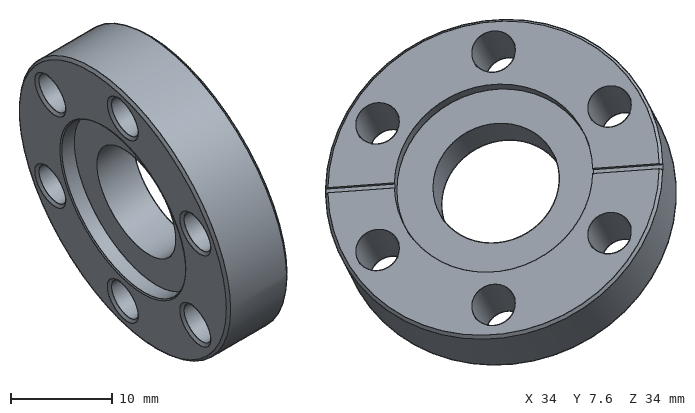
import cadquery as cq

outer_diameter = 34.0
thickness = 7.6
rim_chamfer = 0.3
bore_diameter = 20.0
bore_chamfer = 0.15

bolt_count = 6
bolt_circle_diameter = 27.0
bolt_hole_diameter = 4.4
bolt_hole_chamfer = 0.3

groove_width = 0.55
groove_depth = 0.35

insert_hole_diameter = 12.7
insert_thickness = 4.6
insert_recess = 1.7

front_y = -thickness / 2
rear_y = thickness / 2


def cylinder_along_y(diameter, length, start_y):
    """Solid cylinder on the Y axis, running from start_y toward +Y."""
    return cq.Workplane("XZ", origin=(0, start_y, 0)).circle(diameter / 2).extrude(-length)


def chamfered_hole_cutter(diameter, chamfer):
    """Through-hole cutter on the Y axis that flares out at the front face."""
    radius = diameter / 2
    half_profile = (
        cq.Workplane("XY")
        .moveTo(0, front_y)
        .lineTo(radius + chamfer, front_y)
        .lineTo(radius, front_y + chamfer)
        .lineTo(radius, rear_y)
        .lineTo(0, rear_y)
        .close()
    )
    return half_profile.revolve(360, (0, 0, 0), (0, 1, 0))


def make_flange():
    """Ring with chamfered rims, central bore, bolt holes and rear groove."""
    flange = cylinder_along_y(outer_diameter, thickness, front_y).edges().chamfer(rim_chamfer)
    flange = flange.cut(chamfered_hole_cutter(bore_diameter, bore_chamfer))

    bolt_cutter = chamfered_hole_cutter(bolt_hole_diameter, bolt_hole_chamfer)
    bolt_cutter = bolt_cutter.translate((0, 0, bolt_circle_diameter / 2))
    for index in range(bolt_count):
        angle = index * 360 / bolt_count
        flange = flange.cut(bolt_cutter.rotate((0, 0, 0), (0, 1, 0), angle))

    groove = cq.Workplane("XY").box(outer_diameter, groove_depth, groove_width)
    return flange.cut(groove.translate((0, rear_y - groove_depth / 2, 0)))


def make_insert():
    """Washer that fills the bore diameter between the front and rear recesses."""
    insert_front_y = front_y + insert_recess
    washer = cylinder_along_y(bore_diameter, insert_thickness, insert_front_y)
    return washer.cut(cylinder_along_y(insert_hole_diameter, insert_thickness, insert_front_y))


flange = make_flange().solids()
insert = make_insert().solids()

result = cq.Compound.makeCompound([flange.val(), insert.val()])